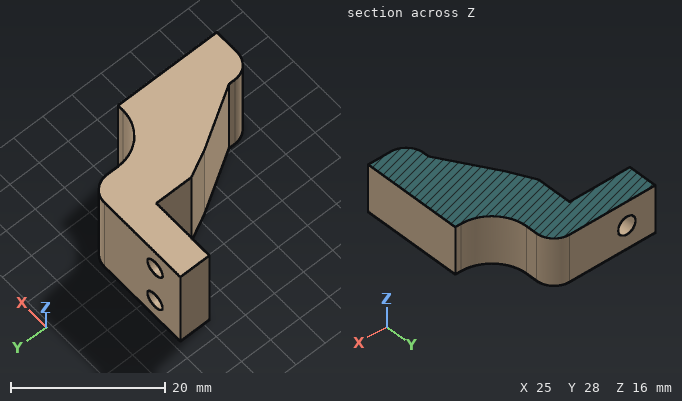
import cadquery as cq
import math

width = 25.0
depth = 28.0
height = 16.0

plate_thickness = 5.0
arm_thickness = 7.0
corner_radius = 3.0
scoop_radius = 6.0
scoop_flat = 1.0

gusset_width = 7.5
gusset_side_length = 6.0
gusset_knee_width = 5.5
gusset_knee_y = 13.0
gusset_tip_y = 4.0

hole_diameter = 3.0
hole_x = 5.0
hole_spacing = 8.0

arm_x = width - arm_thickness
plate_y = depth - plate_thickness
scoop_end_x = width - scoop_flat
scoop_bottom_y = plate_y - scoop_radius
diagonal = math.sqrt(0.5)


def make_bracket():
    """Plate, arm and gusset in one outline, with rounded corners and a concave scoop."""
    back_center_x = arm_x - corner_radius
    back_center_y = depth - corner_radius
    front_center_x = arm_x + corner_radius
    scoop_middle = (
        scoop_end_x - scoop_radius * diagonal,
        plate_y - scoop_radius * diagonal,
    )
    back_corner_middle = (
        back_center_x + corner_radius * diagonal,
        back_center_y + corner_radius * diagonal,
    )
    front_corner_middle = (
        front_center_x - corner_radius * diagonal,
        corner_radius - corner_radius * diagonal,
    )
    return (
        cq.Workplane("XY")
        .moveTo(0, plate_y)
        .lineTo(0, depth)
        .lineTo(back_center_x, depth)
        .threePointArc(back_corner_middle, (arm_x, back_center_y))
        .lineTo(arm_x, plate_y)
        .threePointArc(scoop_middle, (scoop_end_x, scoop_bottom_y))
        .lineTo(width, scoop_bottom_y)
        .lineTo(width, 0)
        .lineTo(front_center_x, 0)
        .threePointArc(front_corner_middle, (arm_x, corner_radius))
        .lineTo(arm_x, gusset_tip_y)
        .lineTo(arm_x - gusset_knee_width, gusset_knee_y)
        .lineTo(arm_x - gusset_width, plate_y - gusset_side_length)
        .lineTo(arm_x - gusset_width, plate_y)
        .close()
        .extrude(height)
    )


def make_holes():
    """Two holes through the plate, centred on its height."""
    holes = cq.Workplane("XY")
    for side in (-1, 1):
        hole_z = height / 2 + side * hole_spacing / 2
        hole = cq.Solid.makeCylinder(
            hole_diameter / 2,
            plate_thickness,
            cq.Vector(hole_x, plate_y, hole_z),
            cq.Vector(0, 1, 0),
        )
        holes = holes.add(hole)
    return holes.combine()


result = make_bracket().cut(make_holes())